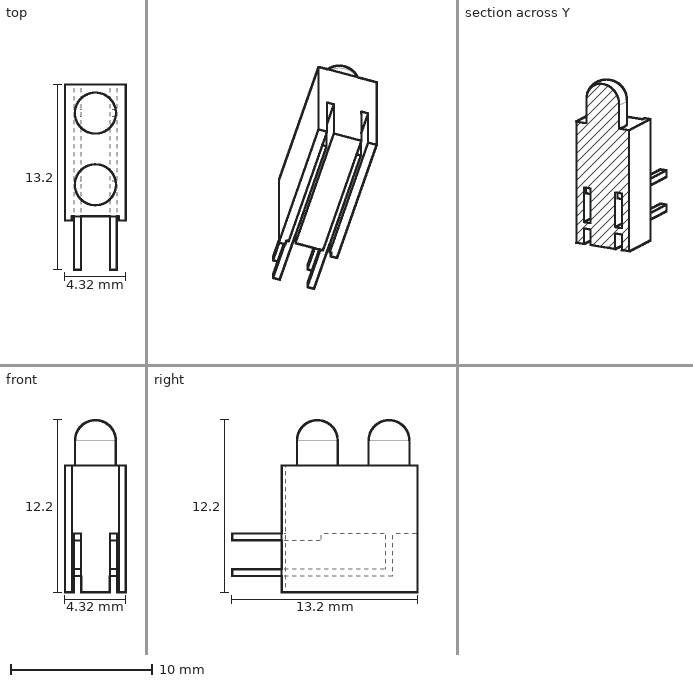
import cadquery as cq


housing_width = 4.32
housing_depth = 9.65
housing_height = 9.0
rib_width = 0.49
rib_projection = 0.30

led_pitch = 5.08
front_led_y = 2.54
led_radius = 1.455
led_height = 3.22
led_positions_y = (front_led_y, front_led_y + led_pitch)

lead_size = 0.5
lead_pitch = 2.54
lead_projection = 3.5
lower_lead_z = 1.4
upper_lead_z = lower_lead_z + lead_pitch
lead_columns_x = (-lead_pitch / 2, lead_pitch / 2)
slot_top = upper_lead_z + lead_size / 2


def block(width, y_start, y_end, z_start, z_end, x_centre=0):
    """Box centred on x_centre, spanning the given Y and Z ranges."""
    return (
        cq.Workplane("XY")
        .box(width, y_end - y_start, z_end - z_start, centered=(True, False, False))
        .translate((x_centre, y_start, z_start))
    )


def make_housing():
    """Block with a shallow recess between the front ribs and two open-bottomed lead slots."""
    housing = block(housing_width, 0, housing_depth, 0, housing_height)
    recess_width = housing_width - 2 * rib_width
    housing = housing.cut(block(recess_width, 0, rib_projection, 0, housing_height))
    for x in lead_columns_x:
        housing = housing.cut(block(lead_size, 0, housing_depth, 0, slot_top, x))
    return housing


def make_led(y):
    """Cylinder capped by a hemisphere, standing on top of the housing."""
    dome_base = led_height - led_radius
    profile = (
        cq.Workplane("XZ")
        .lineTo(led_radius, 0)
        .lineTo(led_radius, dome_base)
        .radiusArc((0, led_height), -led_radius)
        .close()
    )
    return profile.revolve(360, (0, 0), (0, 1)).translate((0, y, housing_height))


def make_lead(x, z, led_y):
    """Lead dropping from below its LED to height z, then running out through the front."""
    half_size = lead_size / 2
    bottom = z - half_size
    horizontal = block(lead_size, -lead_projection, led_y + half_size, bottom, bottom + lead_size, x)
    vertical = block(lead_size, led_y - half_size, led_y + half_size, bottom, slot_top, x)
    return horizontal.union(vertical)


result = make_housing()
for led_y, lead_z in zip(led_positions_y, (upper_lead_z, lower_lead_z)):
    result = result.union(make_led(led_y))
    for lead_x in lead_columns_x:
        result = result.union(make_lead(lead_x, lead_z, led_y))